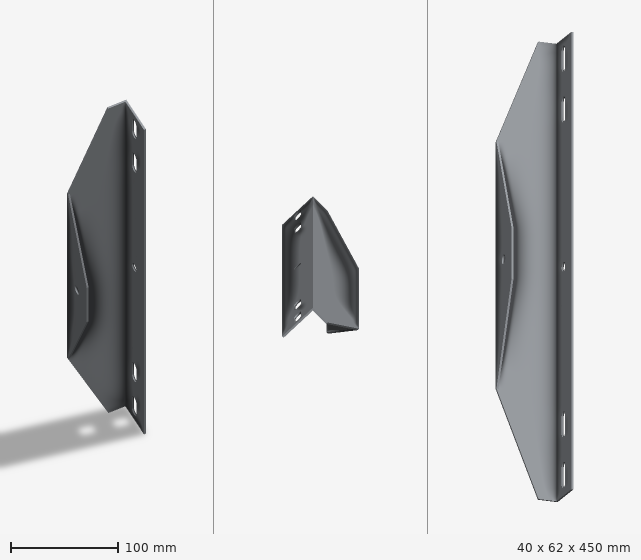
import cadquery as cq

width = 40.0
depth = 62.0
height = 450.0
sheet = 2.0

web_end_depth = 20.0
flange_root_half_height = 121.5
flange_tip_half_height = 25.0

hole_diameter = 9.0
slot_width = 9.0
slot_length = 25.0
slot_end_offsets = (20.2, 70.0)

half_height = height / 2
front_y = -depth / 2
back_y = depth / 2


def channel():
    """Full-height U-channel: web on the -X side, flanges at front and back."""
    outer = (
        cq.Workplane("XY")
        .box(width, depth, height, centered=(False, True, True))
    )
    inner = (
        cq.Workplane("XY")
        .box(width, depth - 2 * sheet, height, centered=(False, True, True))
        .translate((sheet, 0, 0))
    )
    return outer.cut(inner)


def web_outline():
    """Block that narrows the web toward both ends and shortens the front flange."""
    end_y = back_y - web_end_depth
    return (
        cq.Workplane("YZ")
        .polyline([
            (back_y, -half_height),
            (end_y, -half_height),
            (front_y, -flange_root_half_height),
            (front_y, flange_root_half_height),
            (end_y, half_height),
            (back_y, half_height),
        ])
        .close()
        .extrude(width)
    )


def flange_taper(side):
    """Waste above (side = 1) or below (side = -1) the sloped front flange edge."""
    return (
        cq.Workplane("XZ")
        .polyline([
            (sheet, side * flange_root_half_height),
            (width, side * flange_tip_half_height),
            (width, side * half_height),
            (sheet, side * half_height),
        ])
        .close()
        .extrude(depth / 2)
    )


def back_slots():
    """Two vertical slots near each end of the back flange."""
    slot_centers = [
        (width / 2, side * (half_height - offset))
        for side in (-1, 1)
        for offset in slot_end_offsets
    ]
    return (
        cq.Workplane("XZ", origin=(0, back_y, 0))
        .pushPoints(slot_centers)
        .slot2D(slot_length, slot_width, 90)
        .extrude(sheet)
    )


def center_hole():
    """Round hole through both flanges at mid-height."""
    return (
        cq.Workplane("XZ", origin=(width / 2, back_y, 0))
        .circle(hole_diameter / 2)
        .extrude(depth)
    )


result = channel().intersect(web_outline())
for end in (-1, 1):
    result = result.cut(flange_taper(end))
result = result.cut(back_slots()).cut(center_hole())